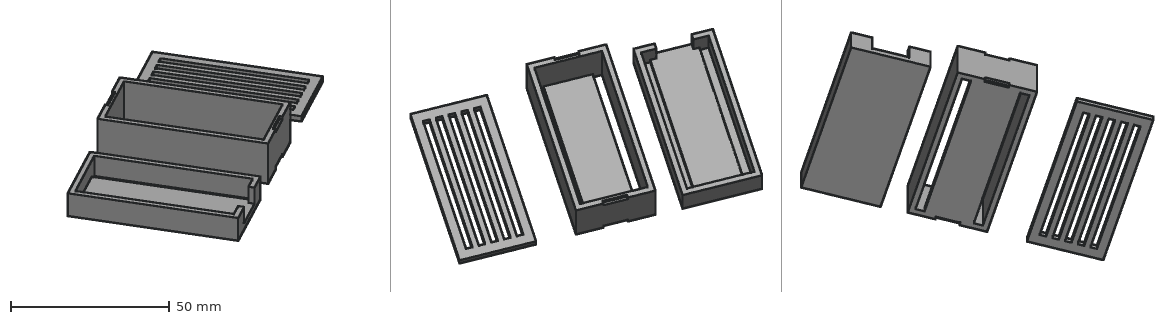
import cadquery as cq

length = 56.0
box_width = 26.2
wall = 2.0
channel_width = 3.0
inner_length = length - 2 * wall
inner_width = box_width - 2 * wall
floor_width = inner_width - 2 * channel_width

tray_height = 8.5
tray_floor = 2.5
channel_floor = 1.0
mouth_width = 12.2
tray_y = box_width / 2

base_z = 0.5
box_height = 15.0
box_floor = 2.0
notch_width = 8.0
notch_size = 1.0
box_y = 48.3

total_width = 99.7
lid_width = 25.2
lid_thickness = 2.0
slot_count = 5
slot_length = 48.9
slot_width = 2.1
slot_pitch = 4.2
lid_y = total_width - lid_width / 2


def block(x_size, y_size, z_size, x=0, y=0, z=0):
    """Rectangular block centred on x and y, standing on height z."""
    return cq.Workplane("XY").box(x_size, y_size, z_size, centered=(True, True, False)).translate((x, y, z))


def make_tray():
    """Shallow tray with two sunken side channels and an open mouth at +X."""
    tray = block(length, box_width, tray_height, y=tray_y)
    tray = tray.cut(block(inner_length, inner_width, tray_height, y=tray_y, z=tray_floor))
    for side in (-1, 1):
        channel_y = tray_y + side * (inner_width - channel_width) / 2
        tray = tray.cut(block(inner_length, channel_width, tray_height, y=channel_y, z=channel_floor))
    mouth_x = (length - wall) / 2
    return tray.cut(block(wall, mouth_width, tray_height, x=mouth_x, y=tray_y, z=tray_floor))


def make_box():
    """Four walls joined by a floor strip, with latch notches on both ends."""
    box = block(length, box_width, box_height, y=box_y, z=base_z)
    box = box.cut(block(inner_length, inner_width, box_height, y=box_y, z=base_z))
    box = box.union(block(inner_length, floor_width, box_floor, y=box_y, z=base_z))
    for side in (-1, 1):
        notch_x = side * (length - notch_size) / 2
        for notch_z in (base_z, base_z + box_height - notch_size):
            box = box.cut(block(notch_size, notch_width, notch_size, x=notch_x, y=box_y, z=notch_z))
    return box


def make_lid():
    """Flat plate with evenly spaced long slots."""
    lid = block(length, lid_width, lid_thickness, y=lid_y, z=base_z)
    for index in range(slot_count):
        slot_y = lid_y + (index - (slot_count - 1) / 2) * slot_pitch
        lid = lid.cut(block(slot_length, slot_width, lid_thickness, y=slot_y, z=base_z))
    return lid


tray = make_tray()
box = make_box()
lid = make_lid()

result = cq.Compound.makeCompound([tray.val(), box.val(), lid.val()])